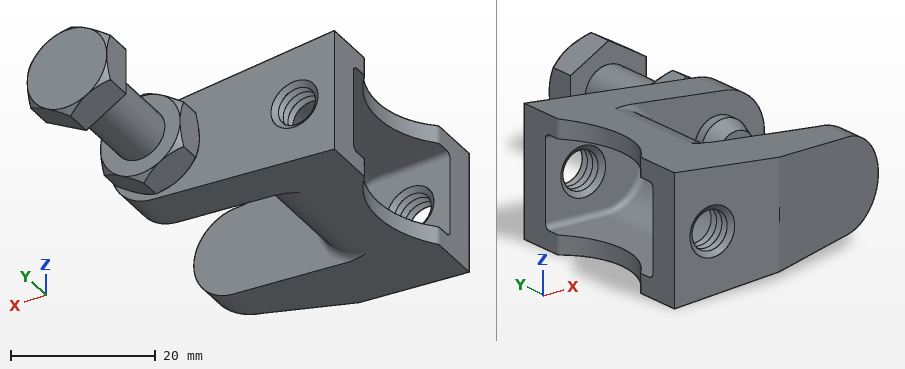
import cadquery as cq
import math

body_height = 35.0
body_width = 20.0
side_taper = 5.0
jaw_top = 9.5
arm_bottom = 28.5

jaw_round_start, jaw_tip = 31.7, 39.0
arm_round_start, arm_tip = 29.7, 36.45
web_round_start, web_tip = 10.1, 18.05
web_fillet = 1.0

slope_start = 18.0
jaw_tip_bottom = 5.4

pocket_bottom = 4.95
pocket_top = body_height - pocket_bottom
pocket_width = 14.1
pocket_round_center = 10.1
pocket_fillet = 0.95

saddle_depth = 3.9
saddle_half_chord = 9.55
saddle_edge_fillet = 1.0

rod_hole_x = 6.5
thread_root_diameter = 7.65
thread_crest_diameter = 6.0
threads_per_wall = 4

bolt_x = 28.5
bolt_diameter = 8.0
bolt_tip_diameter = 6.0
bolt_end = 24.1
bolt_tip_length = 2.85
overall_height = 59.0
hex_flats = 13.0
hex_height = 5.0
hex_chamfer = 0.95


def half_width(x):
    """Half the body width at distance x from the back."""
    return body_width / 2 - x * math.tan(math.radians(side_taper))


def tapered_plate(round_start, tip, bottom, top):
    """Plate with tapering sides and a round end, between two heights."""
    z_start = half_width(round_start)
    return (
        cq.Workplane("XZ", origin=(0, bottom, 0))
        .moveTo(0, -body_width / 2)
        .lineTo(round_start, -z_start)
        .threePointArc((tip, 0), (round_start, z_start))
        .lineTo(0, body_width / 2)
        .close()
        .extrude(bottom - top)
    )


def revolved(profile, x):
    """Revolve a (radius, Y) outline about the line parallel to Y at x, z = 0."""
    return profile.close().revolve(360, (0, 0, 0), (0, 1, 0)).translate((x, 0, 0))


def jaw():
    plate = tapered_plate(jaw_round_start, jaw_tip, 0, jaw_top)
    underside = (
        cq.Workplane("XY")
        .moveTo(slope_start, 0)
        .lineTo(jaw_tip, 0)
        .lineTo(jaw_tip, jaw_tip_bottom)
        .close()
        .extrude(body_width / 2, both=True)
    )
    return plate.cut(underside)


def web_flare():
    """Fillets where the round front of the web meets the jaw and the arm."""
    z_start = half_width(web_round_start)
    length = web_tip - web_round_start
    radius = (length**2 + z_start**2) / (2 * length)
    flare_radius = radius + web_fillet
    bend = web_fillet * (1 - math.sqrt(0.5))
    profile = (
        cq.Workplane("XY")
        .moveTo(0, jaw_top)
        .lineTo(flare_radius, jaw_top)
        .threePointArc((radius + bend, jaw_top + bend), (radius, jaw_top + web_fillet))
        .lineTo(radius, arm_bottom - web_fillet)
        .threePointArc((radius + bend, arm_bottom - bend), (flare_radius, arm_bottom))
        .lineTo(0, arm_bottom)
    )
    flare = revolved(profile, web_tip - radius)
    return flare.intersect(tapered_plate(arm_round_start, arm_tip, jaw_top, arm_bottom))


def pocket():
    half = pocket_width / 2
    lead_in = 2 * pocket_fillet
    return (
        cq.Workplane("XZ", origin=(0, pocket_bottom, 0))
        .moveTo(-lead_in, -half)
        .lineTo(pocket_round_center, -half)
        .threePointArc((pocket_round_center + half, 0), (pocket_round_center, half))
        .lineTo(-lead_in, half)
        .close()
        .extrude(pocket_bottom - pocket_top)
        .faces("<Y or >Y")
        .edges()
        .fillet(pocket_fillet)
    )


def saddle():
    radius = (saddle_half_chord**2 + saddle_depth**2) / (2 * saddle_depth)
    return (
        cq.Workplane("XY")
        .center(saddle_depth - radius, body_height / 2)
        .circle(radius)
        .extrude(body_width, both=True)
    )


def threaded_hole(bottom, top):
    """Hole with ring-shaped V threads, root diameter at both ends."""
    pitch = (top - bottom) / threads_per_wall
    root = thread_root_diameter / 2
    crest = thread_crest_diameter / 2
    profile = cq.Workplane("XY").moveTo(0, bottom).lineTo(root, bottom)
    for i in range(threads_per_wall):
        profile = profile.lineTo(crest, bottom + (i + 0.5) * pitch)
        profile = profile.lineTo(root, bottom + (i + 1) * pitch)
    return revolved(profile.lineTo(0, top), rod_hole_x)


def hexagon(bottom, chamfer_bottom):
    """Hexagon with corners along Z; the top corners are always chamfered."""
    corner = hex_flats / math.sqrt(3)
    flat = hex_flats / 2
    top = bottom + hex_height
    prism = (
        cq.Workplane("XZ", origin=(0, bottom, 0))
        .polygon(6, 2 * corner)
        .extrude(-hex_height)
        .rotate((0, 0, 0), (0, 1, 0), 90)
        .translate((bolt_x, 0, 0))
    )
    envelope = cq.Workplane("XY").moveTo(0, bottom)
    if chamfer_bottom:
        envelope = envelope.lineTo(flat, bottom).lineTo(corner, bottom + hex_chamfer)
    else:
        envelope = envelope.lineTo(corner, bottom)
    envelope = envelope.lineTo(corner, top - hex_chamfer).lineTo(flat, top).lineTo(0, top)
    return prism.intersect(revolved(envelope, bolt_x))


def shank():
    radius = bolt_diameter / 2
    profile = (
        cq.Workplane("XY")
        .moveTo(0, bolt_end)
        .lineTo(bolt_tip_diameter / 2, bolt_end)
        .lineTo(radius, bolt_end + bolt_tip_length)
        .lineTo(radius, overall_height - hex_height)
        .lineTo(0, overall_height - hex_height)
    )
    return revolved(profile, bolt_x)


body = tapered_plate(web_round_start, web_tip, 0, body_height)
body = body.union(jaw())
body = body.union(tapered_plate(arm_round_start, arm_tip, arm_bottom, body_height))
body = body.union(web_flare())

body = body.cut(saddle())
edge_reach = saddle_half_chord + saddle_edge_fillet
saddle_edges = cq.selectors.BoxSelector(
    (-saddle_edge_fillet, body_height / 2 - edge_reach, -body_width),
    (saddle_edge_fillet, body_height / 2 + edge_reach, body_width),
)
body = body.edges("|Z").edges(saddle_edges).fillet(saddle_edge_fillet)

body = body.cut(pocket())
body = body.cut(threaded_hole(0, pocket_bottom))
body = body.cut(threaded_hole(pocket_top, body_height))

lock_nut = hexagon(body_height, chamfer_bottom=True)
bolt_head = hexagon(overall_height - hex_height, chamfer_bottom=False)
result = body.union(shank()).union(lock_nut).union(bolt_head)